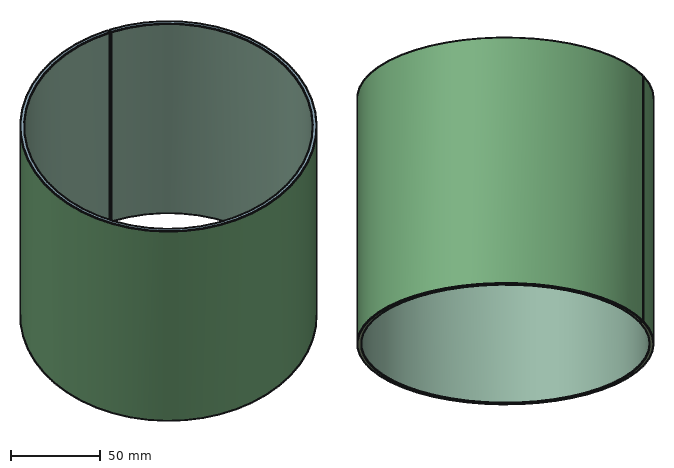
import cadquery as cq

outer_diameter = 165.0
wall_thickness = 2.5
height = 150.0
rim_chamfer = 0.3
seam_angle = 1.0

outer_radius = outer_diameter / 2
wall_center_radius = outer_radius - wall_thickness / 2

wall_section = (
    cq.Sketch()
    .rect(wall_thickness, height)
    .vertices()
    .chamfer(rim_chamfer)
)

result = (
    cq.Workplane("XZ")
    .center(-wall_center_radius, height / 2)
    .placeSketch(wall_section)
    .revolve(360 - seam_angle, (wall_center_radius, 0, 0), (wall_center_radius, 1, 0))
)